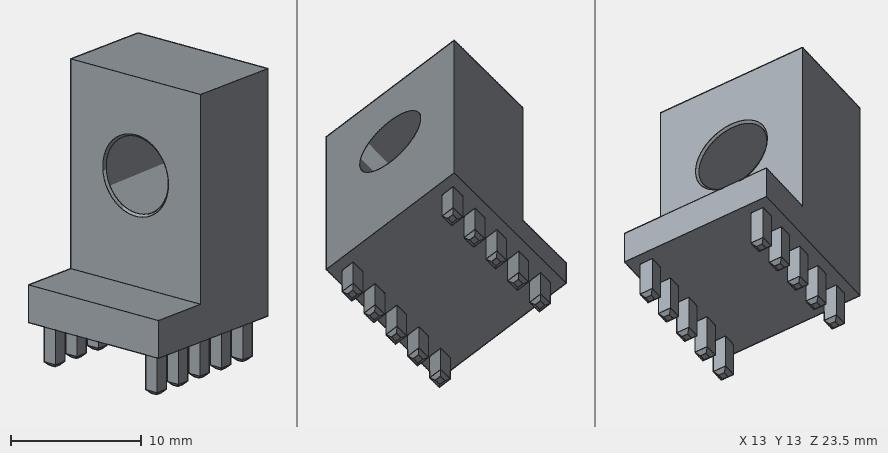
import cadquery as cq

total_height = 23.5
pin_length = 3.5
body_height = total_height - pin_length
body_width = 13.0
body_depth = 13.0
foot_height = 3.05
foot_depth = 5.0

hole_diameter = 6.2
hole_height = 12.0
hole_chamfer = 0.19

pin_width = 1.13
pin_tip_chamfer = 0.3
pins_per_row = 5
pin_pitch = 2.54
row_spacing = (pins_per_row - 1) * pin_pitch


def make_body():
    """L-shaped body standing on Z = 0, centred in X and Y."""
    front = -body_depth / 2
    back = body_depth / 2
    upright_front = front + foot_depth
    profile = [
        (front, 0),
        (back, 0),
        (back, body_height),
        (upright_front, body_height),
        (upright_front, foot_height),
        (front, foot_height),
    ]
    return cq.Workplane("YZ").polyline(profile).close().extrude(body_width / 2, both=True)


def make_hole_cutter():
    """Solid of revolution about the hole axis, flared at the front of the upright block."""
    upright_depth = body_depth - foot_depth
    radius = hole_diameter / 2
    mouth_radius = radius + hole_chamfer
    half_section = [
        (0, 0),
        (mouth_radius, 0),
        (radius, hole_chamfer),
        (radius, upright_depth),
        (0, upright_depth),
    ]
    return (
        cq.Workplane("XY")
        .polyline(half_section)
        .close()
        .revolve(360, (0, 0, 0), (0, 1, 0))
        .translate((0, foot_depth - body_depth / 2, hole_height))
    )


def make_pins():
    """Square pins hanging from the underside of the body, with chamfered tips."""
    return (
        cq.Workplane("XY")
        .rarray(row_spacing, pin_pitch, 2, pins_per_row)
        .rect(pin_width, pin_width)
        .extrude(-pin_length)
        .faces("<Z")
        .chamfer(pin_tip_chamfer)
    )


result = make_body().cut(make_hole_cutter()).union(make_pins())